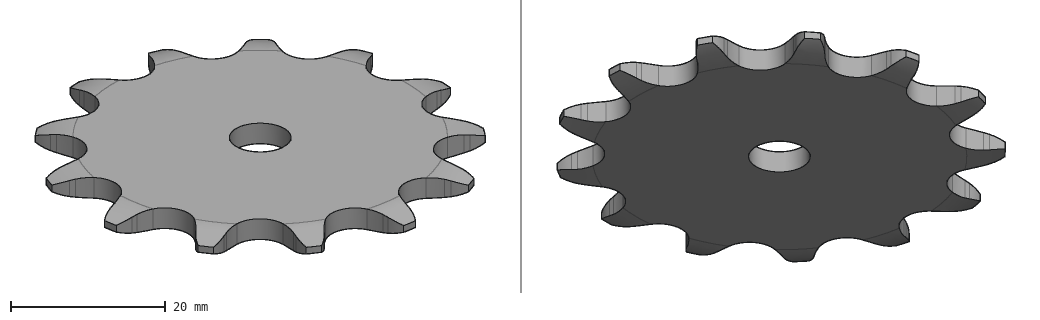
import cadquery as cq
import math

tooth_count = 13
pitch = 12.7
roller_diameter = 7.75
seating_radius = 3.9
tip_radius = 29.2
thickness = 3.0
bore_diameter = 8.0

tip_thickness = 1.0
side_curve_radius = pitch

pitch_radius = pitch / 2 / math.sin(math.pi / tooth_count)
seating_end_angle = -(35 + 60 / tooth_count)
working_sweep = 18 - 56 / tooth_count
topping_angle = 17 - 64 / tooth_count
working_offset = 0.8 * roller_diameter
topping_offset = 1.4 * roller_diameter
working_radius = seating_radius + working_offset
flank_end_angle = seating_end_angle + working_sweep


def sine(angle):
    return math.sin(math.radians(angle))


def cosine(angle):
    return math.cos(math.radians(angle))


flat_length = topping_offset * sine(topping_angle) - working_offset * sine(working_sweep)
topping_radius = (
    working_offset * cosine(working_sweep) + topping_offset * cosine(topping_angle) - working_radius
)


def polar(center, radius, angle):
    return (center[0] + radius * cosine(angle), center[1] + radius * sine(angle))


def mirrored(point):
    return (-point[0], point[1])


def circle_crossing_angle(center, radius):
    """Direction from center to where its circle first meets the tip circle, on the gap side."""
    distance = math.hypot(*center)
    cos_apex = (distance**2 + radius**2 - tip_radius**2) / (2 * distance * radius)
    toward_axis = math.degrees(math.atan2(-center[1], -center[0]))
    return toward_axis - math.degrees(math.acos(cos_apex))


def tooth_gap():
    """Cutter for one gap: seating arc, then on each side a working arc, a flat and a topping arc."""
    seat_center = (0, pitch_radius)
    seat_bottom = polar(seat_center, seating_radius, -90)
    seat_end = polar(seat_center, seating_radius, seating_end_angle)

    working_center = polar(seat_center, -working_offset, seating_end_angle)
    working_middle = polar(working_center, working_radius, seating_end_angle + working_sweep / 2)
    working_end = polar(working_center, working_radius, flank_end_angle)

    flat_end = polar(working_end, flat_length, flank_end_angle + 90)

    topping_center = polar(flat_end, topping_radius, flank_end_angle)
    topping_start_angle = flank_end_angle + 180
    tip_angle = circle_crossing_angle(topping_center, topping_radius) % 360
    topping_middle = polar(topping_center, topping_radius, (topping_start_angle + tip_angle) / 2)
    tip = polar(topping_center, topping_radius, tip_angle)

    outside = (tip[0], 2 * tip_radius)
    return (
        cq.Workplane("XY", origin=(0, 0, -thickness))
        .moveTo(*mirrored(seat_end))
        .threePointArc(seat_bottom, seat_end)
        .threePointArc(working_middle, working_end)
        .lineTo(*flat_end)
        .threePointArc(topping_middle, tip)
        .lineTo(*outside)
        .lineTo(*mirrored(outside))
        .lineTo(*mirrored(tip))
        .threePointArc(mirrored(topping_middle), mirrored(flat_end))
        .lineTo(*mirrored(working_end))
        .threePointArc(mirrored(working_middle), mirrored(seat_end))
        .close()
        .extrude(2 * thickness)
    )


def blank():
    """Disc whose rim is rounded by arcs tangent to the flat faces."""
    half = thickness / 2
    half_tip = tip_thickness / 2
    side_sweep = math.degrees(math.acos(1 - (half - half_tip) / side_curve_radius))
    side_start = tip_radius - side_curve_radius * sine(side_sweep)
    side_middle = polar((side_start, half - side_curve_radius), side_curve_radius, 90 - side_sweep / 2)
    return (
        cq.Workplane("XZ")
        .moveTo(0, -half)
        .lineTo(side_start, -half)
        .threePointArc((side_middle[0], -side_middle[1]), (tip_radius, -half_tip))
        .lineTo(tip_radius, half_tip)
        .threePointArc(side_middle, (side_start, half))
        .lineTo(0, half)
        .close()
        .revolve(360, (0, 0, 0), (0, 1, 0))
    )


result = blank()
gap = tooth_gap()
for index in range(tooth_count):
    rotation = index * 360 / tooth_count
    result = result.cut(gap.rotate((0, 0, 0), (0, 0, 1), rotation))

bore = cq.Workplane("XY", origin=(0, 0, -thickness)).circle(bore_diameter / 2).extrude(2 * thickness)
result = result.cut(bore)